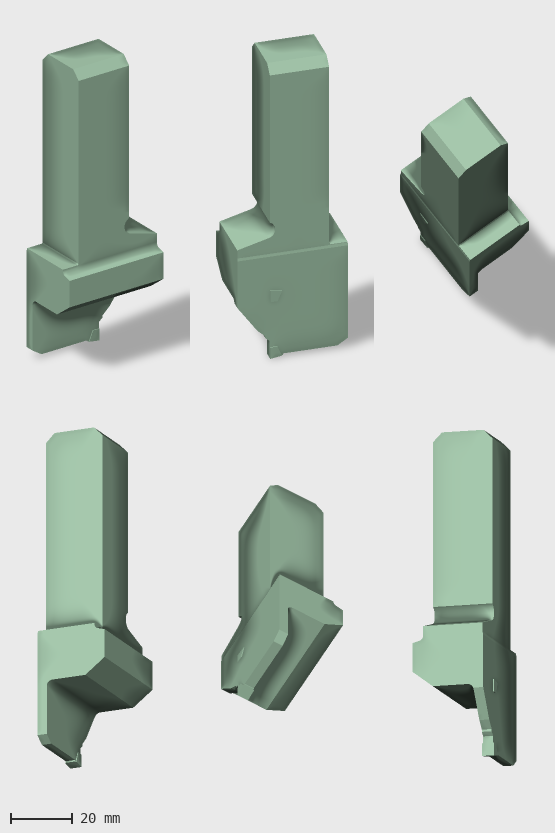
import cadquery as cq
import math

TOTAL_HEIGHT = 107.7

SHANK_SIZE = 20.0
SHANK_LEFT = 0.5
SHANK_RIGHT = SHANK_LEFT + SHANK_SIZE
TOP_CHAMFER = 3.0

HEAD_LEFT = 0.3
HEAD_RIGHT = 24.2
HEAD_BACK = -6.2
HEAD_DEPTH = 37.3
HEAD_FRONT = HEAD_BACK + HEAD_DEPTH
LEDGE_Z = 38.9
FOOT_CHAMFER = 0.3
FACE_STEP_TOP_Z = 38.7
FACE_STEP_BOTTOM_Z = 37.7
SHOULDER_ANGLE = math.radians(15)
SIDE_SHOULDER_Z = 36.3
FRONT_SHOULDER_Z = 41.7
SIDE_FILLET = 1.7
RELIEF_RADIUS = 3.0
RELIEF_DEPTH = 1.8
UNDERSIDE_Z = 21.7
UNDERSIDE_CHAMFER_X = 17.3
UNDERSIDE_CHAMFER_Z = 26.8

BLADE_RIGHT = 3.7
BLADE_BOTTOM = 1.2
BLADE_FILLET = 1.9
BLADE_CORNER_Y = 3.6
BLADE_CORNER_Z = 2.3
FRONT_SLOPE_TOP_Z = 20.4
FRONT_SLOPE_BEND_Y = 24.3
FRONT_SLOPE_BEND_Z = 11.0
FRONT_SLOPE_END_Z = 8.4

INSERT_LENGTH = 25.2
INSERT_MID_Z = INSERT_LENGTH / 2
INSERT_BACK = 15.7
INSERT_FRONT = 21.5
TIP_Y = SHANK_SIZE
TIP_CLEARANCE = 0.6
WAIST_HALF = 5.0
WAIST_BEVEL = 1.2
CHEEK_WIDTH = HEAD_LEFT + BLADE_RIGHT
CHEEK_INNER_Y = 16.0
CHEEK_SHORT_Y = 17.6
CHEEK_LENGTH = 4.2


def extrude_along_x(points, left, right):
    """Prism from a (Y, Z) outline."""
    return cq.Workplane("YZ").workplane(offset=left).polyline(points).close().extrude(right - left)


def make_front_silhouette():
    """Prism across X of the whole holder, seen from the side."""
    centre_y = SHANK_SIZE - RELIEF_DEPTH + RELIEF_RADIUS
    relief_start_y = centre_y - RELIEF_RADIUS * math.sin(SHOULDER_ANGLE)
    relief_start_z = FRONT_SHOULDER_Z + (HEAD_FRONT - relief_start_y) * math.tan(SHOULDER_ANGLE)
    centre_z = relief_start_z + RELIEF_RADIUS * math.cos(SHOULDER_ANGLE)
    relief_end_z = centre_z + math.sqrt(RELIEF_RADIUS**2 - (centre_y - SHANK_SIZE) ** 2)
    return (
        cq.Workplane("YZ")
        .moveTo(0, TOTAL_HEIGHT)
        .lineTo(SHANK_SIZE, TOTAL_HEIGHT)
        .lineTo(SHANK_SIZE, relief_end_z)
        .threePointArc((centre_y - RELIEF_RADIUS, centre_z), (relief_start_y, relief_start_z))
        .lineTo(HEAD_FRONT, FRONT_SHOULDER_Z)
        .lineTo(HEAD_FRONT, FRONT_SLOPE_TOP_Z)
        .lineTo(FRONT_SLOPE_BEND_Y, FRONT_SLOPE_BEND_Z)
        .lineTo(INSERT_FRONT, FRONT_SLOPE_END_Z)
        .lineTo(INSERT_BACK, FRONT_SLOPE_END_Z)
        .lineTo(INSERT_BACK, BLADE_BOTTOM)
        .lineTo(HEAD_BACK + BLADE_CORNER_Y, BLADE_BOTTOM)
        .lineTo(HEAD_BACK, BLADE_BOTTOM + BLADE_CORNER_Z)
        .lineTo(HEAD_BACK, LEDGE_Z)
        .lineTo(-FOOT_CHAMFER, LEDGE_Z)
        .lineTo(0, LEDGE_Z + FOOT_CHAMFER)
        .close()
        .extrude(HEAD_RIGHT)
    )


def make_side_silhouette():
    """Prism across Y of the shank, stepped head and blade."""
    shoulder_z = SIDE_SHOULDER_Z + (HEAD_RIGHT - SHANK_RIGHT) * math.tan(SHOULDER_ANGLE)
    tangent = SIDE_FILLET * math.tan((math.pi / 2 - SHOULDER_ANGLE) / 2)
    fillet_start_z = shoulder_z + tangent
    fillet_end = (
        SHANK_RIGHT + tangent * math.cos(SHOULDER_ANGLE),
        shoulder_z - tangent * math.sin(SHOULDER_ANGLE),
    )
    blade_arc_inset = BLADE_FILLET * (1 - math.sqrt(0.5))
    return (
        cq.Workplane("XZ", origin=(0, HEAD_FRONT, 0))
        .moveTo(SHANK_LEFT + TOP_CHAMFER, TOTAL_HEIGHT)
        .lineTo(SHANK_RIGHT - TOP_CHAMFER, TOTAL_HEIGHT)
        .lineTo(SHANK_RIGHT, TOTAL_HEIGHT - TOP_CHAMFER)
        .lineTo(SHANK_RIGHT, fillet_start_z)
        .tangentArcPoint(fillet_end, relative=False)
        .lineTo(HEAD_RIGHT, SIDE_SHOULDER_Z)
        .lineTo(HEAD_RIGHT, UNDERSIDE_CHAMFER_Z)
        .lineTo(UNDERSIDE_CHAMFER_X, UNDERSIDE_Z)
        .lineTo(BLADE_RIGHT + BLADE_FILLET, UNDERSIDE_Z)
        .threePointArc(
            (BLADE_RIGHT + blade_arc_inset, UNDERSIDE_Z - blade_arc_inset),
            (BLADE_RIGHT, UNDERSIDE_Z - BLADE_FILLET),
        )
        .lineTo(BLADE_RIGHT, 0)
        .lineTo(HEAD_LEFT, 0)
        .lineTo(HEAD_LEFT, FACE_STEP_BOTTOM_Z)
        .lineTo(SHANK_LEFT, FACE_STEP_TOP_Z)
        .lineTo(SHANK_LEFT, TOTAL_HEIGHT - TOP_CHAMFER)
        .close()
        .extrude(HEAD_DEPTH)
    )


def make_insert():
    """Flat bar with a bulging waist and a wide cutting cheek at each end."""
    waist_end = WAIST_HALF + WAIST_BEVEL
    bar = extrude_along_x(
        [
            (INSERT_BACK, TIP_CLEARANCE),
            (TIP_Y, 0),
            (TIP_Y, INSERT_MID_Z - waist_end),
            (INSERT_FRONT, INSERT_MID_Z - WAIST_HALF),
            (INSERT_FRONT, INSERT_MID_Z + WAIST_HALF),
            (TIP_Y, INSERT_MID_Z + waist_end),
            (TIP_Y, INSERT_LENGTH),
            (INSERT_BACK, INSERT_LENGTH - TIP_CLEARANCE),
        ],
        HEAD_LEFT,
        BLADE_RIGHT,
    )
    end_slope = TIP_CLEARANCE / (TIP_Y - INSERT_BACK)
    cheek = extrude_along_x(
        [
            (TIP_Y, 0),
            (CHEEK_INNER_Y, (TIP_Y - CHEEK_INNER_Y) * end_slope),
            (CHEEK_SHORT_Y, CHEEK_LENGTH),
            (TIP_Y, CHEEK_LENGTH),
        ],
        0,
        CHEEK_WIDTH,
    )
    upper_cheek = cheek.mirror("XY", (0, 0, INSERT_MID_Z))
    return bar.union(cheek).union(upper_cheek)


def make_holder(insert):
    """Shank, head and blade in one piece, with a seat that fits the insert."""
    return make_front_silhouette().intersect(make_side_silhouette()).cut(insert)


cutting_insert = make_insert()
holder = make_holder(cutting_insert)

result = cq.Compound.makeCompound([holder.val(), cutting_insert.val()])